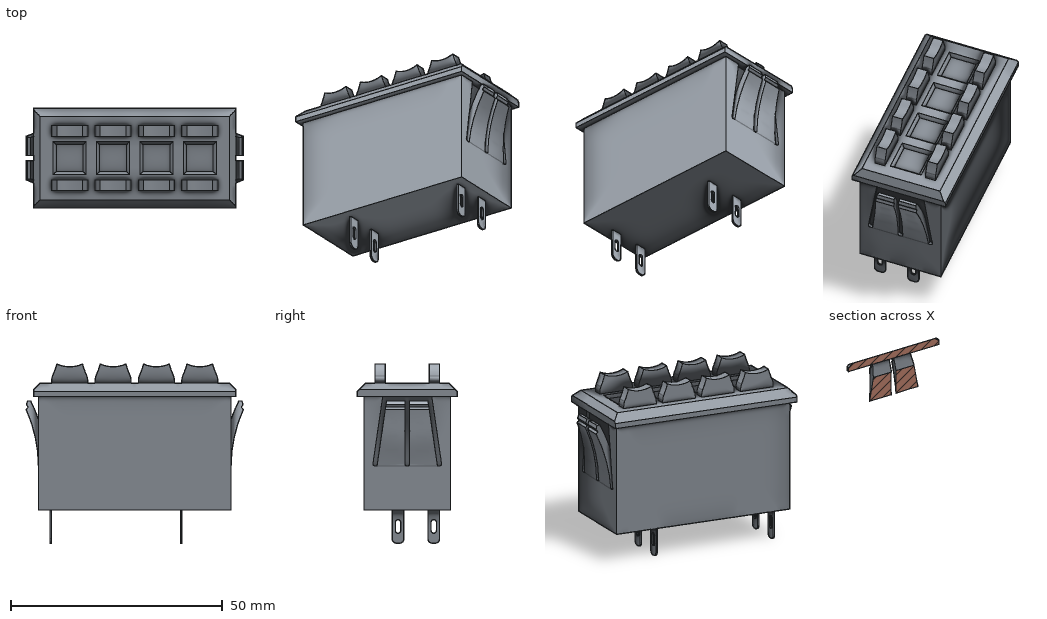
import cadquery as cq
import math


body_length = 45.5
body_width = 20.5
body_height = 26.75
bezel_length = 47.7
bezel_width = 23.62
bezel_height = 3.2
bezel_end_chamfer = 1.5
bezel_side_chamfer = 1.95

station_count = 4
station_pitch = 10.23
rocker_height = 4.54
rocker_thickness = 2.5
rocker_offset_y = 6.4
rocker_half_base = 4.27
rocker_half_neck = 4.05
rocker_half_top = 3.03
rocker_bulge_height = 0.55
rocker_neck_height = 1.74
rocker_flank_sag = 0.06
rocker_top_sag = 0.66
window_size = 7.8
window_depth = 0.73

recess_depth = 0.88
recess_drop = 16.33
recess_half_top = 5.79
flank_slope = 0.146
side_gap = 1.05
center_gap = 1.17
slot_corner_radius = 0.5
tongue_reach = 2.885
tongue_top_drop = 0.96
tongue_thickness = 1.88
hook_lip_reach = 2.55
hook_tip_reach = 2.82
hook_tip_drop = 1.85
hook_notch_reach = 2.4
hook_notch_drop = 2.48
hook_barb_drop = 3.02

terminal_thickness = 0.4
terminal_width = 2.8
terminal_length = 7.83
terminal_corner_radius = 1.1
terminal_x_positions = (-19.8, 11.0)
terminal_y_positions = (6.25, -2.17)
terminal_slot_width = 1.2
terminal_slot_length = 3.15
terminal_slot_drop = 3.85

embed = 1.0


def station_positions():
    first = -station_pitch * (station_count - 1) / 2
    return [first + i * station_pitch for i in range(station_count)]


def make_body():
    return cq.Workplane("XY").box(
        body_length, body_width, body_height, centered=(True, True, False)
    ).translate((0, 0, -body_height))


def make_bezel():
    bezel = cq.Workplane("XY").box(
        bezel_length, bezel_width, bezel_height, centered=(True, True, False)
    )
    return bezel.intersect(
        bevel_prism("XZ", bezel_length, bezel_end_chamfer)
    ).intersect(bevel_prism("YZ", bezel_width, bezel_side_chamfer))


def bevel_prism(plane, width, chamfer):
    """Long prism whose cross-section is the bezel outline with 45 degree top bevels."""
    half = width / 2
    return (
        cq.Workplane(plane)
        .moveTo(-half, 0)
        .lineTo(half, 0)
        .lineTo(half, bezel_height - chamfer)
        .lineTo(half - chamfer, bezel_height)
        .lineTo(chamfer - half, bezel_height)
        .lineTo(-half, bezel_height - chamfer)
        .close()
        .extrude(bezel_length, both=True)
    )


def make_rocker(x, y):
    """Button with flared flanks and a concave finger rest on top."""
    bulge_inset = rocker_half_base - rocker_half_neck
    bulge_rise = rocker_neck_height - rocker_bulge_height
    bulge_radius = (bulge_inset**2 + bulge_rise**2) / (2 * bulge_inset)
    bulge_half_turn = math.atan2(bulge_inset, bulge_rise)
    bulge_mid_width = rocker_half_base - bulge_radius * (1 - math.cos(bulge_half_turn))
    bulge_mid_height = rocker_bulge_height + bulge_radius * math.sin(bulge_half_turn)
    flank_mid_width = (rocker_half_neck + rocker_half_top) / 2 - rocker_flank_sag
    flank_mid_height = (rocker_neck_height + rocker_height) / 2
    profile = (
        cq.Workplane("XZ")
        .moveTo(-rocker_half_base, -embed)
        .lineTo(rocker_half_base, -embed)
        .lineTo(rocker_half_base, rocker_bulge_height)
        .threePointArc((bulge_mid_width, bulge_mid_height), (rocker_half_neck, rocker_neck_height))
        .threePointArc((flank_mid_width, flank_mid_height), (rocker_half_top, rocker_height))
        .threePointArc((0, rocker_height - rocker_top_sag), (-rocker_half_top, rocker_height))
        .threePointArc((-flank_mid_width, flank_mid_height), (-rocker_half_neck, rocker_neck_height))
        .threePointArc((-bulge_mid_width, bulge_mid_height), (-rocker_half_base, rocker_bulge_height))
        .close()
    )
    rocker = profile.extrude(rocker_thickness / 2, both=True)
    return rocker.translate((x, y, bezel_height))


def make_window(x):
    """Square pocket in the bezel top with 45 degree walls."""
    return (
        cq.Workplane("XY", origin=(x, 0, bezel_height))
        .rect(window_size, window_size)
        .extrude(-window_depth, taper=45)
    )


def trapezoid(half_top, start_x, depth):
    """Block running in +X from start_x, widening in Y down to the recess bottom."""
    half_bottom = half_top + flank_slope * recess_drop
    return (
        cq.Workplane("YZ", origin=(start_x, 0, 0))
        .polyline([(-half_top, 0), (half_top, 0), (half_bottom, -recess_drop), (-half_bottom, -recess_drop)])
        .close()
        .extrude(depth)
    )


def make_recess():
    recess = trapezoid(recess_half_top, -body_length / 2, recess_depth)
    return recess.edges("|X and <Z").fillet(slot_corner_radius)


def make_tongues():
    """Pair of barbed snap tongues standing out from the recess on the -X wall."""
    rise = recess_drop - hook_barb_drop
    outer_radius = (rise**2 + tongue_reach**2) / (2 * tongue_reach)
    inner_radius = outer_radius + tongue_thickness
    outer_angle = math.asin(rise / outer_radius)
    inner_angle = math.asin((recess_drop - tongue_top_drop) / inner_radius)

    def bend_point(radius, angle):
        return (
            radius * math.cos(angle) - outer_radius,
            radius * math.sin(angle) - recess_drop,
        )

    profile = (
        cq.Workplane("XZ", origin=(-body_length / 2, 0, 0))
        .moveTo(0, -recess_drop)
        .threePointArc(
            bend_point(outer_radius, outer_angle / 2),
            bend_point(outer_radius, outer_angle),
        )
        .lineTo(-hook_notch_reach, -hook_notch_drop)
        .lineTo(-hook_tip_reach, -hook_tip_drop)
        .lineTo(-hook_lip_reach, -tongue_top_drop)
        .lineTo(*bend_point(inner_radius, inner_angle))
        .threePointArc(bend_point(inner_radius, inner_angle / 2), bend_point(inner_radius, 0))
        .close()
    )
    slab = profile.extrude(body_width / 2, both=True)
    front_x = -body_length / 2 - 2 * tongue_reach
    outline = trapezoid(
        recess_half_top - side_gap, front_x, 2 * tongue_reach + tongue_thickness
    )
    slot = (
        cq.Workplane("YZ", origin=(front_x, 0, 0))
        .rect(center_gap, 2 * recess_drop)
        .extrude(2 * tongue_reach + recess_depth)
        .edges("|X and <Z")
        .fillet(slot_corner_radius)
    )
    return slab.intersect(outline).cut(slot)


def make_terminal(x, y):
    """Flat solder tab with rounded lower corners and an oblong eye."""
    tab = (
        cq.Workplane("XY")
        .box(terminal_thickness, terminal_width, terminal_length + embed, centered=(True, True, False))
        .translate((0, 0, -terminal_length))
        .edges("|X and <Z")
        .fillet(terminal_corner_radius)
    )
    eye = (
        cq.Workplane("YZ")
        .center(0, -terminal_slot_drop)
        .slot2D(terminal_slot_length, terminal_slot_width, 90)
        .extrude(terminal_thickness, both=True)
    )
    return tab.cut(eye).translate((x, y, -body_height))


def build_part():
    part = make_body().union(make_bezel())
    recess = make_recess()
    tongues = make_tongues()
    part = part.cut(recess).cut(recess.mirror("YZ"))
    part = part.union(tongues).union(tongues.mirror("YZ"))
    for x in station_positions():
        part = part.cut(make_window(x))
        for y in (-rocker_offset_y, rocker_offset_y):
            part = part.union(make_rocker(x, y))
    for x in terminal_x_positions:
        for y in terminal_y_positions:
            part = part.union(make_terminal(x, y))
    return part


result = build_part()